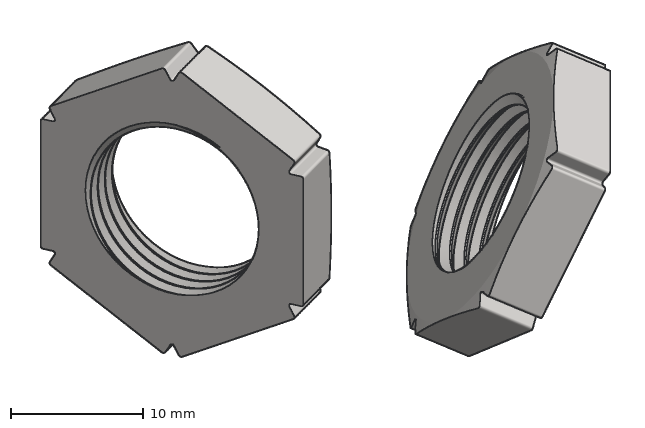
import cadquery as cq
import math

across_flats = 22.0
thickness = 5.0
apothem = across_flats / 2
corner_count = 6
corner_spacing = 360 / corner_count
first_corner_angle = corner_spacing / 2
corner_radius = apothem / math.cos(math.radians(first_corner_angle))

notch_apex_radius = 11.15
notch_half_angle = 30
notch_root_fillet = 0.17
notch_lip_fillet = 0.22

chamfer_start_radius = 10.98
chamfer_angle = 15

minor_radius = 6.95
major_radius = 7.6
pitch = 1.27
crest_flat = pitch / 8
root_flat = pitch / 40
thread_overlap = 0.05
run_out_turns = 1


def hexagon_blank():
    """Hexagonal prism from z = 0, with flats facing +X and -X."""
    return (
        cq.Workplane("XY")
        .polygon(corner_count, 2 * corner_radius)
        .extrude(thickness)
        .rotate((0, 0, 0), (0, 0, 1), first_corner_angle)
    )


def corner_notch(angle):
    """V-shaped cutter with a rounded root, pointing at the axis."""
    depth = 2 * (corner_radius - notch_apex_radius)
    half_width = depth * math.tan(math.radians(notch_half_angle))
    return (
        cq.Workplane("XY")
        .moveTo(notch_apex_radius, 0)
        .lineTo(notch_apex_radius + depth, half_width)
        .lineTo(notch_apex_radius + depth, -half_width)
        .close()
        .extrude(thickness)
        .edges("|Z and <X")
        .fillet(notch_root_fillet)
        .rotate((0, 0, 0), (0, 0, 1), angle)
    )


def notched_body():
    """Hexagon with its corners notched and the notch lips rounded."""
    body = hexagon_blank()
    for corner in range(corner_count):
        body = body.cut(corner_notch(first_corner_angle + corner * corner_spacing))
    lip_radius = math.hypot(apothem, notch_apex_radius * math.sin(math.radians(notch_half_angle)))
    inside_lip = lip_radius - notch_lip_fillet
    lips = [
        edge
        for edge in body.edges("|Z").vals()
        if math.hypot(edge.Center().x, edge.Center().y) > inside_lip
    ]
    return body.newObject(lips).fillet(notch_lip_fillet)


def chamfer_envelope():
    """Turned envelope whose sloping rim bevels the back edge of the hexagon."""
    chamfer_depth = (corner_radius - chamfer_start_radius) * math.tan(math.radians(chamfer_angle))
    return (
        cq.Workplane("XZ")
        .moveTo(0, 0)
        .lineTo(corner_radius, 0)
        .lineTo(corner_radius, thickness - chamfer_depth)
        .lineTo(chamfer_start_radius, thickness)
        .lineTo(0, thickness)
        .close()
        .revolve(360, (0, 0, 0), (0, 1, 0))
    )


def thread_cutter():
    """Helical V groove, centred at -Y where it meets the z = 0 face."""
    height = thickness + 2 * run_out_turns * pitch
    helix = cq.Wire.makeHelix(pitch, height, minor_radius)
    half_mouth = (pitch - crest_flat) / 2
    half_root = root_flat / 2
    flank_slope = (half_mouth - half_root) / (major_radius - minor_radius)
    half_base = half_mouth + thread_overlap * flank_slope
    base_radius = minor_radius - thread_overlap
    return (
        cq.Workplane("XZ")
        .moveTo(base_radius, -half_base)
        .lineTo(major_radius, -half_root)
        .lineTo(major_radius, half_root)
        .lineTo(base_radius, half_base)
        .close()
        .sweep(cq.Workplane(helix), isFrenet=True)
        .translate((0, 0, -run_out_turns * pitch))
        .rotate((0, 0, 0), (0, 0, 1), -90)
    )


def bore_cutter():
    """Plain bore to the thread crests, running past both faces."""
    height = thickness + 2 * run_out_turns * pitch
    return (
        cq.Workplane("XY")
        .circle(minor_radius)
        .extrude(height)
        .translate((0, 0, -run_out_turns * pitch))
    )


blank = notched_body().intersect(chamfer_envelope())
nut = blank.cut(thread_cutter()).cut(bore_cutter())

result = nut.rotate((0, 0, 0), (1, 0, 0), -90).translate((0, -thickness / 2, 0))